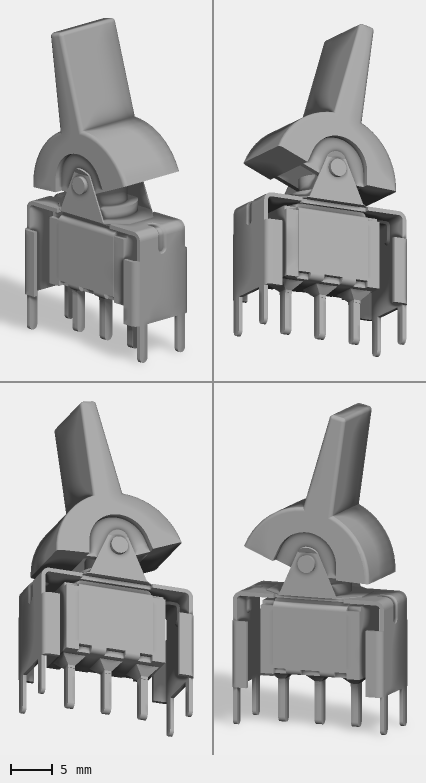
import cadquery as cq
import math

TERMINAL_TIP_Z = 0.1
LEG_SHOULDER_Z = 4.75
CASE_BOTTOM_Z = 6.5
FLANGE_TOP_Z = 12.85
BRACKET_BOTTOM_Z = 15.9
BRACKET_TOP_Z = 16.4
PAD_TOP_Z = 16.5
COLLAR_TOP_Z = 17.8
BUSHING_TOP_Z = 20.03
PIVOT_Z = 20.5

ROCKER_WIDTH = 9.27
ROCKER_TILT = 12.5
SECTOR_RADIUS = 8.4
SECTOR_DROP = 1.5
SECTOR_EDGE_ANGLE = 9.5
LEVER_TIP_HEIGHT = 18.78
LEVER_TIP_HALF = 1.0
LEVER_TAPER = 4.4
ROCKER_FILLET = 0.45
PIVOT_DIAMETER = 2.15
RECESS_RADIUS = 3.95
RECESS_SIDE_LENGTH = 5.85
WEB_OUTER_Y = 3.65
WEB_INNER_Y = 2.8

BRACKET_LENGTH = 19.55
BRACKET_WIDTH = 7.6
SHEET = BRACKET_TOP_Z - BRACKET_BOTTOM_Z
TOP_BEND_RADIUS = 1.05
FLANGE_BEND_RADIUS = 0.78
FLANGE_LENGTH = 2.05
FLANGE_OUTER_Y = 4.55
LEG_TIP_WIDTH = 1.3
NOTCH_HALF_LENGTH = 4.5
NOTCH_EDGE_Y = 3.1
BEAD_WIDTH = 1.32
BEAD_FLOOR_WIDTH = 0.75
BEAD_DEPTH = 0.27
BEAD_BOTTOM_Z = 13.1
BEAD_END_X = 7.4

EAR_THICKNESS = 0.2
EAR_INNER_Y = 3.9
EAR_OUTER_Y = EAR_INNER_Y + EAR_THICKNESS
EAR_BASE_HALF = 3.75
EAR_BEND_HALF = 1.3
EAR_BEND_Z = 21.85
EAR_LIP_LENGTH = 0.85
EAR_LIP_ANGLE = 30.0
PAD_HALF_LENGTH = 6.2
PAD_STRAIGHT_HALF_WIDTH = 1.95

CASE_LENGTH = 12.78
CASE_WIDTH = 6.55
CASE_LEDGE_Z = 14.85
CASE_SHOULDER_Z = 15.35
CASE_UPPER_WIDTH = 5.38
CASE_CAP_DIAMETER = 11.0
CASE_CAP_FILLET = 0.5
CASE_FOOT_WIDTH = 5.22
STRAP_LENGTH = 9.5
STRAP_WIDTH = 6.7
STRAP_BOTTOM_Z = 7.25
STRAP_BEND_RADIUS = 0.62
TAB_CENTER_X = 2.2
TAB_LENGTH = 1.87
TAB_RADIUS = 0.65
COLLAR_DIAMETER = 7.7
COLLAR_FLATS = 6.55
BUSHING_DIAMETER = 5.2
TERMINAL_PITCH = 4.7
TERMINAL_THICKNESS = 0.9
TERMINAL_WIDTH = 1.3
TERMINAL_ROOT_Z = 5.15
TERMINAL_ROOT_WIDTH = 1.45
SEAL_LENGTH = 2.92
SEAL_HEIGHT = (SEAL_LENGTH - TERMINAL_THICKNESS) / 2
SEAL_WIDTH = TERMINAL_ROOT_WIDTH + 2 * SEAL_HEIGHT


def centered_box(length, width, bottom, top):
    """Box centred on X and Y between two levels."""
    return cq.Workplane("XY").workplane(offset=bottom).rect(length, width).extrude(top - bottom)


def blade(thickness, width, tip, top):
    """Flat blade along Z with a fully rounded lower end."""
    half = width / 2
    return (
        cq.Workplane("YZ")
        .moveTo(-half, top)
        .lineTo(-half, tip + half)
        .threePointArc((0, tip), (half, tip + half))
        .lineTo(half, top)
        .close()
        .extrude(thickness / 2, both=True)
    )


def sector():
    """Circular sector whose corner lies below the pivot, with the pivot at the origin."""
    edge = math.radians(SECTOR_EDGE_ANGLE)
    end_x = SECTOR_RADIUS * math.cos(edge)
    end_z = SECTOR_RADIUS * math.sin(edge) - SECTOR_DROP
    return (
        cq.Workplane("XZ")
        .moveTo(0, -SECTOR_DROP)
        .lineTo(end_x, end_z)
        .threePointArc((0, SECTOR_RADIUS - SECTOR_DROP), (-end_x, end_z))
        .close()
        .extrude(ROCKER_WIDTH / 2, both=True)
    )


def lever():
    """Tapered lever rising from the pivot."""
    base_half = LEVER_TIP_HALF + LEVER_TIP_HEIGHT * math.tan(math.radians(LEVER_TAPER))
    outline = [
        (-base_half, 0),
        (base_half, 0),
        (LEVER_TIP_HALF, LEVER_TIP_HEIGHT),
        (-LEVER_TIP_HALF, LEVER_TIP_HEIGHT),
    ]
    return cq.Workplane("XZ").polyline(outline).close().extrude(ROCKER_WIDTH / 2, both=True)


def hub_recess(near_y, far_y):
    """Round-topped space with sides flaring downwards, between two distances along Y."""
    flare = math.radians(ROCKER_TILT)
    side_x = RECESS_RADIUS * math.cos(flare)
    side_z = RECESS_RADIUS * math.sin(flare)
    bottom_x = side_x + RECESS_SIDE_LENGTH * math.sin(flare)
    bottom_z = side_z - RECESS_SIDE_LENGTH * math.cos(flare)
    return (
        cq.Workplane("XZ", origin=(0, far_y, 0))
        .moveTo(bottom_x, bottom_z)
        .lineTo(side_x, side_z)
        .threePointArc((0, RECESS_RADIUS), (-side_x, side_z))
        .lineTo(-bottom_x, bottom_z)
        .close()
        .extrude(far_y - near_y)
    )


def make_rocker():
    half_width = ROCKER_WIDTH / 2
    margin = ROCKER_FILLET
    tip_edges = cq.selectors.BoxSelector(
        (-SECTOR_RADIUS, -margin, LEVER_TIP_HEIGHT - margin),
        (SECTOR_RADIUS, margin, LEVER_TIP_HEIGHT + margin),
    )
    sharp_edges = cq.selectors.BoxSelector(
        (-SECTOR_RADIUS, -half_width - margin, -SECTOR_DROP), (SECTOR_RADIUS, half_width + margin, 0)
    )
    rounded_edges = cq.selectors.SubtractSelector(cq.selectors.Selector(), sharp_edges)
    body = sector().union(lever())
    body = body.edges(tip_edges).fillet(ROCKER_FILLET)
    body = body.faces("<Y or >Y").edges().edges(rounded_edges).fillet(ROCKER_FILLET)
    body = body.cut(hub_recess(WEB_OUTER_Y, half_width))
    body = body.cut(hub_recess(-half_width, -WEB_OUTER_Y))
    body = body.cut(hub_recess(-WEB_INNER_Y, WEB_INNER_Y))
    for side in (-1, 1):
        trunnion = (
            cq.Workplane("XZ", origin=(0, side * WEB_INNER_Y, 0))
            .circle(PIVOT_DIAMETER / 2)
            .extrude(-side * (half_width - WEB_INNER_Y))
        )
        body = body.union(trunnion)
    return body.rotate((0, 0, 0), (0, 1, 0), -ROCKER_TILT).translate((0, 0, PIVOT_Z))


def bent_sheet():
    """Top plate bent down into two legs, with rounded tips below the legs."""
    outer = centered_box(BRACKET_LENGTH, BRACKET_WIDTH, LEG_SHOULDER_Z, BRACKET_TOP_Z)
    outer = outer.edges(">Z and |Y").fillet(TOP_BEND_RADIUS)
    inner = centered_box(
        BRACKET_LENGTH - 2 * SHEET, BRACKET_WIDTH, LEG_SHOULDER_Z, BRACKET_BOTTOM_Z
    )
    inner = inner.edges(">Z and |Y").fillet(TOP_BEND_RADIUS - SHEET)
    sheet = outer.cut(inner)
    leg_x = (BRACKET_LENGTH - SHEET) / 2
    tip_y = (BRACKET_WIDTH - LEG_TIP_WIDTH) / 2
    for x in (-leg_x, leg_x):
        for y in (-tip_y, tip_y):
            sheet = sheet.union(blade(SHEET, LEG_TIP_WIDTH, 0, LEG_SHOULDER_Z).translate((x, y, 0)))
    return sheet


def flange():
    """Flange bent inwards from the +X leg on its +Y edge."""
    outer_x = BRACKET_LENGTH / 2
    bend_x = outer_x - FLANGE_BEND_RADIUS
    bend_y = FLANGE_OUTER_Y - FLANGE_BEND_RADIUS
    inner_radius = FLANGE_BEND_RADIUS - SHEET
    end_x = outer_x - FLANGE_LENGTH
    diagonal = math.sqrt(0.5)
    return (
        cq.Workplane("XY", origin=(0, 0, LEG_SHOULDER_Z))
        .moveTo(outer_x, bend_y)
        .threePointArc(
            (bend_x + FLANGE_BEND_RADIUS * diagonal, bend_y + FLANGE_BEND_RADIUS * diagonal),
            (bend_x, FLANGE_OUTER_Y),
        )
        .lineTo(end_x, FLANGE_OUTER_Y)
        .lineTo(end_x, FLANGE_OUTER_Y - SHEET)
        .lineTo(bend_x, FLANGE_OUTER_Y - SHEET)
        .threePointArc(
            (bend_x + inner_radius * diagonal, bend_y + inner_radius * diagonal),
            (outer_x - SHEET, bend_y),
        )
        .close()
        .extrude(FLANGE_TOP_Z - LEG_SHOULDER_Z)
    )


def bead(depth_below_surface):
    """Tapered channel round the +X top bend, its mouth at a depth below the outer surface."""
    taper = math.degrees(math.atan((BEAD_WIDTH - BEAD_FLOOR_WIDTH) / 2 / BEAD_DEPTH))
    bend_x = BRACKET_LENGTH / 2 - TOP_BEND_RADIUS
    bend_z = BRACKET_TOP_Z - TOP_BEND_RADIUS
    mouth_radius = TOP_BEND_RADIUS - depth_below_surface
    half_mouth = BEAD_WIDTH / 2
    half_floor = BEAD_FLOOR_WIDTH / 2

    def half_slot(plane, length):
        """Straight tapered channel with a round far end."""
        return (
            cq.Workplane(plane)
            .moveTo(0, -half_mouth)
            .lineTo(length - half_mouth, -half_mouth)
            .threePointArc((length, 0), (length - half_mouth, half_mouth))
            .lineTo(-half_mouth, half_mouth)
            .lineTo(-half_mouth, -half_mouth)
            .close()
            .extrude(BEAD_DEPTH, taper=taper)
        )

    down_leg = half_slot(
        cq.Plane((bend_x + mouth_radius, 0, bend_z), xDir=(0, 0, -1), normal=(-1, 0, 0)),
        bend_z - BEAD_BOTTOM_Z,
    ).intersect(centered_box(BRACKET_LENGTH, BEAD_WIDTH, 0, bend_z))
    along_top = half_slot(
        cq.Plane((bend_x, 0, bend_z + mouth_radius), xDir=(-1, 0, 0), normal=(0, 0, -1)),
        bend_x - BEAD_END_X,
    ).intersect(centered_box(2 * bend_x, BEAD_WIDTH, 0, BRACKET_TOP_Z))
    floor_radius = mouth_radius - BEAD_DEPTH
    round_bend = (
        cq.Workplane("XY", origin=(bend_x, 0, bend_z))
        .polyline([
            (mouth_radius, -half_mouth),
            (mouth_radius, half_mouth),
            (floor_radius, half_floor),
            (floor_radius, -half_floor),
        ])
        .close()
        .revolve(90, (0, 0, 0), (0, -1, 0))
    )
    return down_leg.union(round_bend).union(along_top)


def ear():
    """Pivot ear on the -Y side, its top edge bent outwards as a lead-in lip."""
    plate = (
        cq.Workplane("XZ", origin=(0, -EAR_INNER_Y, 0))
        .polyline([
            (-EAR_BASE_HALF, BRACKET_TOP_Z),
            (EAR_BASE_HALF, BRACKET_TOP_Z),
            (EAR_BEND_HALF, EAR_BEND_Z),
            (-EAR_BEND_HALF, EAR_BEND_Z),
        ])
        .close()
        .extrude(EAR_THICKNESS)
    )
    lip = (
        cq.Workplane("XZ", origin=(0, -EAR_INNER_Y, EAR_BEND_Z))
        .moveTo(-EAR_BEND_HALF, 0)
        .threePointArc((0, EAR_LIP_LENGTH), (EAR_BEND_HALF, 0))
        .close()
        .extrude(EAR_THICKNESS)
        .rotate((0, -EAR_INNER_Y, EAR_BEND_Z), (1, -EAR_INNER_Y, EAR_BEND_Z), EAR_LIP_ANGLE)
    )
    hole = cq.Workplane("XZ", origin=(0, 0, PIVOT_Z)).circle(PIVOT_DIAMETER / 2).extrude(ROCKER_WIDTH)
    return plate.union(lip).cut(hole)


def ear_pad():
    """Thin plate on top of the bracket that joins the two ears."""
    corners = [
        (PAD_HALF_LENGTH, PAD_STRAIGHT_HALF_WIDTH),
        (EAR_BASE_HALF, EAR_OUTER_Y),
        (-EAR_BASE_HALF, EAR_OUTER_Y),
        (-PAD_HALF_LENGTH, PAD_STRAIGHT_HALF_WIDTH),
    ]
    opposite = [(-x, -y) for x, y in corners]
    return (
        cq.Workplane("XY", origin=(0, 0, BRACKET_TOP_Z))
        .polyline(corners + opposite)
        .close()
        .extrude(PAD_TOP_Z - BRACKET_TOP_Z)
    )


def make_bracket():
    bracket = bent_sheet()
    end_flanges = flange().union(flange().mirror("XZ"))
    bracket = bracket.union(end_flanges).union(end_flanges.mirror("YZ"))
    notch = (
        cq.Workplane("XY")
        .box(2 * NOTCH_HALF_LENGTH, BRACKET_WIDTH, SHEET, centered=(True, False, False))
        .translate((0, NOTCH_EDGE_Y, BRACKET_BOTTOM_Z))
    )
    for turn in (0, 180):
        bracket = bracket.cut(notch.rotate((0, 0, 0), (0, 0, 1), turn))
        bracket = bracket.union(bead(SHEET).rotate((0, 0, 0), (0, 0, 1), turn))
        bracket = bracket.cut(bead(0).rotate((0, 0, 0), (0, 0, 1), turn))
    bracket = bracket.union(ear_pad())
    bracket = bracket.union(ear()).union(ear().mirror("XZ"))
    bushing_hole = (
        cq.Workplane("XY", origin=(0, 0, BRACKET_BOTTOM_Z))
        .circle(BUSHING_DIAMETER / 2)
        .extrude(PAD_TOP_Z - BRACKET_BOTTOM_Z)
    )
    return bracket.cut(bushing_hole)


def case():
    """Case block with stepped shoulders, a round cap and a narrow foot under the strap."""
    block = centered_box(CASE_LENGTH, CASE_WIDTH, CASE_BOTTOM_Z, CASE_LEDGE_Z)
    below_strap = centered_box(STRAP_LENGTH, CASE_WIDTH, CASE_BOTTOM_Z, STRAP_BOTTOM_Z)
    foot = centered_box(STRAP_LENGTH, CASE_FOOT_WIDTH, CASE_BOTTOM_Z, STRAP_BOTTOM_Z)
    upper = centered_box(CASE_LENGTH, CASE_UPPER_WIDTH, CASE_LEDGE_Z, CASE_SHOULDER_Z)
    cap = (
        cq.Workplane("XY", origin=(0, 0, CASE_SHOULDER_Z))
        .circle(CASE_CAP_DIAMETER / 2)
        .extrude(BRACKET_BOTTOM_Z - CASE_SHOULDER_Z)
        .faces(">Z")
        .edges()
        .fillet(CASE_CAP_FILLET)
        .intersect(
            centered_box(CASE_CAP_DIAMETER, CASE_UPPER_WIDTH, CASE_SHOULDER_Z, BRACKET_BOTTOM_Z)
        )
    )
    return block.cut(below_strap).union(foot).union(upper).union(cap)


def strap():
    """Strap whose faces bend inwards, then sweep up to a narrower top, with tabs curling under."""
    half_width = STRAP_WIDTH / 2
    shoulder_y = half_width - STRAP_BEND_RADIUS
    sweep_radius = BRACKET_BOTTOM_Z - CASE_SHOULDER_Z
    half_band = (
        cq.Workplane("YZ")
        .moveTo(0, STRAP_BOTTOM_Z)
        .lineTo(half_width, STRAP_BOTTOM_Z)
        .lineTo(half_width, CASE_SHOULDER_Z - STRAP_BEND_RADIUS)
        .tangentArcPoint((shoulder_y, CASE_SHOULDER_Z), relative=False)
        .tangentArcPoint((shoulder_y - sweep_radius, BRACKET_BOTTOM_Z), relative=False)
        .lineTo(0, BRACKET_BOTTOM_Z)
        .close()
        .extrude(STRAP_LENGTH / 2, both=True)
    )
    band = half_band.union(half_band.mirror("XZ"))
    for x in (-TAB_CENTER_X, TAB_CENTER_X):
        tab = centered_box(TAB_LENGTH, STRAP_WIDTH, CASE_BOTTOM_Z, STRAP_BOTTOM_Z)
        tab = tab.edges("<Z and |X").fillet(TAB_RADIUS)
        band = band.union(tab.translate((x, 0, 0)))
    return band


def bushing():
    """Bushing with a collar flattened on its two long sides."""
    shaft = (
        cq.Workplane("XY", origin=(0, 0, BRACKET_BOTTOM_Z))
        .circle(BUSHING_DIAMETER / 2)
        .extrude(BUSHING_TOP_Z - BRACKET_BOTTOM_Z)
    )
    collar = (
        cq.Workplane("XY", origin=(0, 0, PAD_TOP_Z))
        .circle(COLLAR_DIAMETER / 2)
        .extrude(COLLAR_TOP_Z - PAD_TOP_Z)
        .intersect(centered_box(COLLAR_DIAMETER, COLLAR_FLATS, PAD_TOP_Z, COLLAR_TOP_Z))
    )
    return shaft.union(collar)


def terminal():
    """Terminal blade with a wider root and a tapered seal where it leaves the case."""
    seal = (
        cq.Workplane("XY", origin=(0, 0, CASE_BOTTOM_Z))
        .rect(SEAL_LENGTH, SEAL_WIDTH)
        .workplane(offset=-SEAL_HEIGHT)
        .rect(TERMINAL_THICKNESS, TERMINAL_ROOT_WIDTH)
        .loft()
    )
    root = centered_box(TERMINAL_THICKNESS, TERMINAL_ROOT_WIDTH, TERMINAL_ROOT_Z, CASE_BOTTOM_Z)
    return seal.union(root).union(blade(TERMINAL_THICKNESS, TERMINAL_WIDTH, TERMINAL_TIP_Z, CASE_BOTTOM_Z))


def make_switch():
    body = case().union(strap()).union(bushing())
    for position in (-1, 0, 1):
        body = body.union(terminal().translate((position * TERMINAL_PITCH, 0, 0)))
    return body


rocker = make_rocker()
bracket = make_bracket()
switch = make_switch()

result = cq.Compound.makeCompound([rocker.val(), bracket.val(), switch.val()])